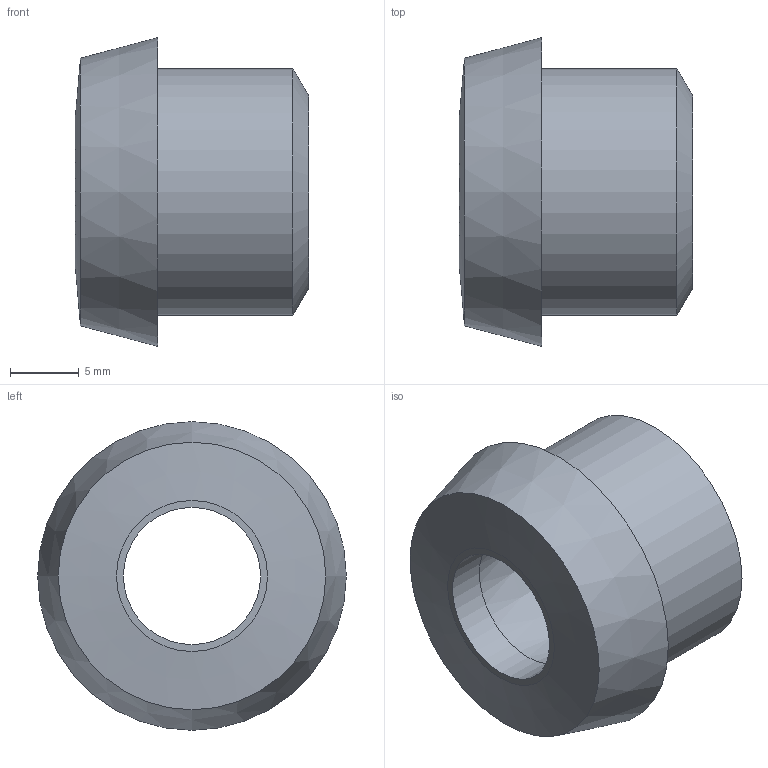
import cadquery as cq
import math

total_length = 17.0
flange_length = 6.0

seat_diameter = 11.0
flange_front_diameter = 19.5
flange_diameter = 22.5
shank_diameter = 18.0

bore_diameter = 10.0
bore_exit_diameter = 14.0

face_angle = math.radians(5.0)
tip_angle = math.radians(30.0)
bore_angle = math.radians(8.0)

face_depth = (flange_front_diameter - seat_diameter) / 2 * math.tan(face_angle)
tip_length = (shank_diameter - bore_exit_diameter) / 2 * math.tan(tip_angle)
bore_cone_length = (bore_exit_diameter - bore_diameter) / 2 / math.tan(bore_angle)


def make_sleeve():
    """Hollow body of revolution about X: tapered flange, shank and widening bore."""
    wall_section = [
        (0, bore_diameter / 2),
        (0, seat_diameter / 2),
        (face_depth, flange_front_diameter / 2),
        (flange_length, flange_diameter / 2),
        (flange_length, shank_diameter / 2),
        (total_length - tip_length, shank_diameter / 2),
        (total_length, bore_exit_diameter / 2),
        (total_length - bore_cone_length, bore_diameter / 2),
    ]
    section = cq.Workplane("XY").polyline(wall_section).close()
    return section.revolve(360, (0, 0, 0), (1, 0, 0))


result = make_sleeve()